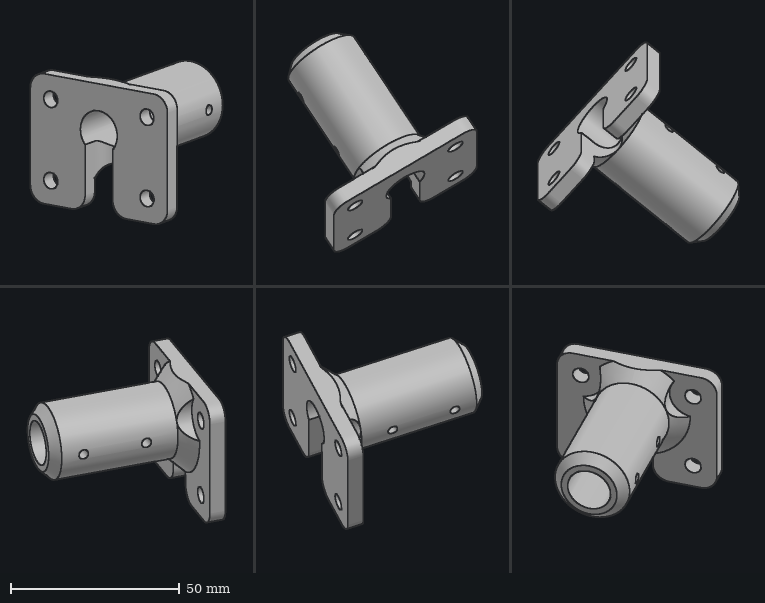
import cadquery as cq

plate_width = 50
plate_height = 40
plate_thickness = 5
corner_radius = 5
mount_hole_diameter = 5
mount_hole_side_inset = 7.45
mount_hole_end_inset = 7.5

total_length = 50
axis_height = 25
tube_diameter = 23.4
bore_diameter = 13.4
end_chamfer = 3
cross_hole_diameter = 3
cross_hole_positions = (20, 40)

collar_size = 5
screw_clearance_radius = 7.35

slot_width = 10

tube_radius = tube_diameter / 2
mount_hole_x = plate_width / 2 - mount_hole_side_inset
upper_hole_height = plate_height - mount_hole_end_inset
collar_end = plate_thickness + collar_size


def cylinder_along_y(x, z, radius, start, length):
    return cq.Workplane(cq.Solid.makeCylinder(radius, length, cq.Vector(x, start, z), cq.Vector(0, 1, 0)))


def make_plate():
    plate = (
        cq.Workplane("XY")
        .box(plate_width, plate_thickness, plate_height, centered=(True, False, False))
        .edges("|Y")
        .fillet(corner_radius)
    )
    for x in (-mount_hole_x, mount_hole_x):
        for z in (mount_hole_end_inset, upper_hole_height):
            plate = plate.cut(cylinder_along_y(x, z, mount_hole_diameter / 2, 0, plate_thickness))
    return plate


def make_tube():
    tube = cylinder_along_y(0, axis_height, tube_radius, 0, total_length)
    return tube.faces(">Y").chamfer(end_chamfer)


def make_collar():
    cone = cq.Workplane(
        cq.Solid.makeCone(
            tube_radius + collar_size,
            tube_radius,
            collar_size,
            cq.Vector(0, plate_thickness, axis_height),
            cq.Vector(0, 1, 0),
        )
    )
    envelope = cq.Workplane("XY").box(
        plate_width, total_length, plate_height, centered=(True, False, False)
    )
    collar = cone.intersect(envelope)
    for x in (-mount_hole_x, mount_hole_x):
        collar = collar.cut(
            cylinder_along_y(x, upper_hole_height, screw_clearance_radius, plate_thickness, collar_size)
        )
    return collar


def make_slot():
    slot_radius = slot_width / 2
    round_center = collar_end - slot_radius
    slot = (
        cq.Workplane("XY")
        .moveTo(-slot_radius, 0)
        .lineTo(slot_radius, 0)
        .lineTo(slot_radius, round_center)
        .threePointArc((0, collar_end), (-slot_radius, round_center))
        .close()
        .extrude(axis_height)
    )
    return slot


def round_slot_mouth(body):
    margin = 0.5
    mouth_box = cq.selectors.BoxSelector(
        (-slot_width, -margin, -margin),
        (slot_width, plate_thickness + margin, margin),
    )
    mouth_edges = body.edges(mouth_box).edges("|Y")
    return mouth_edges.fillet(corner_radius)


bore = cylinder_along_y(0, axis_height, bore_diameter / 2, 0, total_length)
cross_holes = (
    cq.Workplane("YZ")
    .pushPoints([(y, axis_height) for y in cross_hole_positions])
    .circle(cross_hole_diameter / 2)
    .extrude(plate_width / 2, both=True)
)

body = make_plate().union(make_collar()).union(make_tube())
body = body.cut(make_slot()).cut(bore).cut(cross_holes)
result = round_slot_mouth(body)